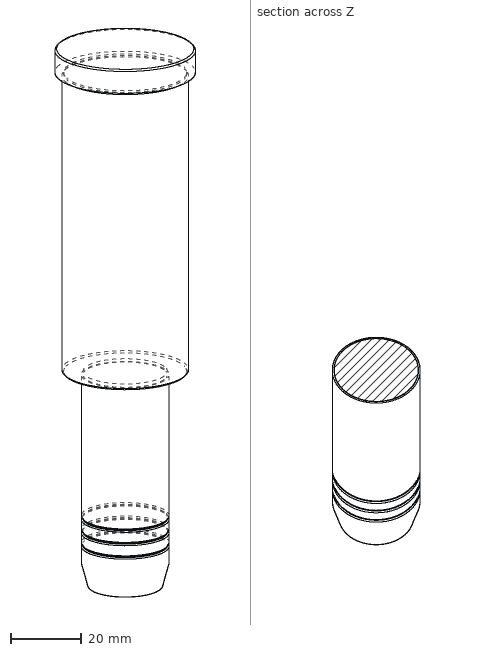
import cadquery as cq
import math

total_length = 160.0
head_height = 7.0
body_length = 89.0

head_diameter = 40.0
body_diameter = 36.0
pin_diameter = 25.0

head_top_chamfer = 0.5
body_chamfer = 0.5
tip_fillet = 0.5

neck_depth = 0.5
head_neck_length = 0.5
pin_neck_length = 1.0

lead_in_length = 7.0
lead_in_angle = 15.0

groove_count = 3
groove_width = 1.0
groove_floor_width = 0.3
groove_depth = 0.4
groove_pitch = 4.0
first_groove_center = 12.5

head_bottom = total_length - head_height
body_bottom = head_bottom - body_length
body_top = head_bottom - head_neck_length
pin_top = body_bottom - pin_neck_length
pin_radius = pin_diameter / 2


def cylinder(diameter, bottom, top):
    """Solid cylinder on the Z axis between two levels."""
    return cq.Workplane("XY").workplane(offset=bottom).circle(diameter / 2).extrude(top - bottom)


def make_head():
    head = cylinder(head_diameter, head_bottom, total_length)
    return head.faces(">Z").edges().chamfer(head_top_chamfer)


def make_body():
    """Body chamfered at both ends, with the neck that joins it to the head."""
    body = cylinder(body_diameter, body_bottom, body_top)
    body = body.faces("<Z or >Z").edges().chamfer(body_chamfer)
    neck = cylinder(body_diameter - 2 * neck_depth, body_top, head_bottom)
    return body.union(neck)


def make_lead_in():
    """Truncated cone that widens from the rounded tip to the pin diameter."""
    tip_radius = pin_radius - lead_in_length * math.tan(math.radians(lead_in_angle))
    cone = cq.Solid.makeCone(tip_radius, pin_radius, lead_in_length)
    return cq.Workplane(obj=cone).faces("<Z").edges().fillet(tip_fillet)


def make_groove_cutter(center):
    """Trapezoidal ring that cuts one groove into the pin at the given level."""
    floor_radius = pin_radius - groove_depth
    outer_radius = pin_radius + groove_depth
    profile = [
        (outer_radius, center - groove_width / 2),
        (pin_radius, center - groove_width / 2),
        (floor_radius, center - groove_floor_width / 2),
        (floor_radius, center + groove_floor_width / 2),
        (pin_radius, center + groove_width / 2),
        (outer_radius, center + groove_width / 2),
    ]
    return cq.Workplane("XZ").polyline(profile).close().revolve(360, (0, 0, 0), (0, 1, 0))


def make_pin():
    """Grooved pin with its lead-in and the neck that joins it to the body."""
    pin = cylinder(pin_diameter, lead_in_length, pin_top).union(make_lead_in())
    for index in range(groove_count):
        pin = pin.cut(make_groove_cutter(first_groove_center + index * groove_pitch))
    neck = cylinder(pin_diameter - 2 * neck_depth, pin_top, body_bottom)
    return pin.union(neck)


result = make_head().union(make_body()).union(make_pin())